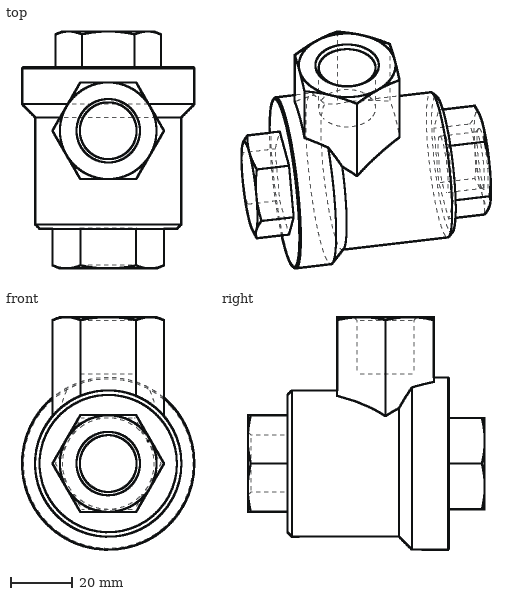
import cadquery as cq
import math


body_diameter = 48.0
flange_diameter = 56.5
body_radius = body_diameter / 2
flange_radius = flange_diameter / 2
body_front = -32.15
body_chamfer = 1.5
cone_length = flange_radius - body_radius
flange_front = 8.7
flange_back = 20.9
flange_chamfer = 0.5

port_flats = 31.7
cap_flats = 30.0
overall_length = 77.65
front_end = -45.1
back_end = front_end + overall_length
upper_end = 48.0
hex_chamfer_angle = 22

bore_diameter = 18.6
bore_chamfer = 1.1
front_bore_depth = 13.2
upper_bore_depth = 18.6


def turned_body():
    """Revolve the stepped body about the Y axis."""
    profile = [
        (0, body_front),
        (body_radius - body_chamfer, body_front),
        (body_radius, body_front + body_chamfer),
        (body_radius, flange_front - cone_length),
        (flange_radius, flange_front),
        (flange_radius, flange_back - flange_chamfer),
        (flange_radius - flange_chamfer, flange_back),
        (0, flange_back),
    ]
    return cq.Workplane("XY").polyline(profile).close().revolve(360, (0, 0), (0, 1))


def hex_end(flats, length):
    """Hexagon along +Z from the origin, corners on X, with its far corners turned off."""
    corners = flats / math.cos(math.radians(30))
    flat_radius = flats / 2
    corner_radius = corners / 2
    chamfer_length = (corner_radius - flat_radius) * math.tan(math.radians(hex_chamfer_angle))
    prism = cq.Workplane("XY").polygon(6, corners).extrude(length)
    envelope_profile = [
        (0, 0),
        (corner_radius, 0),
        (corner_radius, length - chamfer_length),
        (flat_radius, length),
        (0, length),
    ]
    envelope = cq.Workplane("XZ").polyline(envelope_profile).close().revolve(360, (0, 0), (0, 1))
    return prism.intersect(envelope)


def port_bore(length, depth):
    """Blind bore with a countersunk mouth, entering from the far end of a hexagon."""
    radius = bore_diameter / 2
    profile = [
        (0, length - depth),
        (radius, length - depth),
        (radius, length - bore_chamfer),
        (radius + bore_chamfer, length),
        (0, length),
    ]
    return cq.Workplane("XZ").polyline(profile).close().revolve(360, (0, 0), (0, 1))


def point_forward(shape):
    """Turn a shape from the +Z direction to -Y."""
    return shape.rotate((0, 0, 0), (1, 0, 0), 90)


def point_backward(shape):
    """Turn a shape from the +Z direction to +Y."""
    return shape.rotate((0, 0, 0), (1, 0, 0), -90)


front_length = -front_end
result = (
    turned_body()
    .union(hex_end(port_flats, upper_end))
    .union(point_forward(hex_end(port_flats, front_length)))
    .union(point_backward(hex_end(cap_flats, back_end)))
    .cut(port_bore(upper_end, upper_bore_depth))
    .cut(point_forward(port_bore(front_length, front_bore_depth)))
)